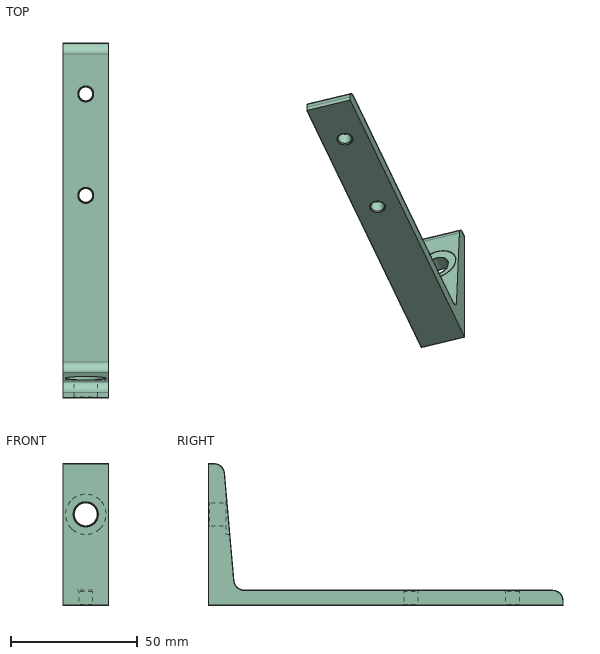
import cadquery as cq
import math

length = 140.0
width = 18.0
height = 56.0

foot_thickness = 6.0
upright_tip_thickness = 6.0
upright_taper = 5.0
upright_rise = height - foot_thickness
upright_root_thickness = upright_tip_thickness + upright_rise * math.tan(math.radians(upright_taper))
tip_radius = 4.2
inner_radius = 4.2

hole_spacing = 20.0
foot_hole_diameter = 5.5
upright_hole_diameter = 9.1
hole_chamfer = 0.4
spotface_diameter = 16.0
spotface_floor = 7.0
foot_hole_places = [length - hole_spacing, length - 3 * hole_spacing]
upright_hole_height = height - hole_spacing


def bracket_body():
    """L-shaped profile extruded across the width, centred on X = 0."""
    outline = [
        (0, 0),
        (length, 0),
        (length, foot_thickness),
        (upright_root_thickness, foot_thickness),
        (upright_tip_thickness, height),
        (0, height),
    ]
    body = cq.Workplane("YZ").polyline(outline).close().extrude(width / 2, both=True)

    def edge_at(y, z):
        return cq.selectors.NearestToPointSelector((0, y, z))

    body = body.edges(edge_at(upright_root_thickness, foot_thickness)).fillet(inner_radius)
    body = body.edges(edge_at(upright_tip_thickness, height)).fillet(tip_radius)
    return body.edges(edge_at(length, foot_thickness)).fillet(tip_radius)


def rim_chamfer(radius):
    """Cone that breaks the rim of a hole, opening at Z = 0 and narrowing upward."""
    profile = [(0, 0), (radius + hole_chamfer, 0), (radius, hole_chamfer), (0, hole_chamfer)]
    return cq.Workplane("XZ").polyline(profile).close().revolve(360, (0, 0), (0, 1))


def foot_hole(y):
    """Vertical through hole in the foot, chamfered at both rims."""
    radius = foot_hole_diameter / 2
    bore = cq.Workplane("XY").circle(radius).extrude(foot_thickness)
    lower = rim_chamfer(radius)
    upper = lower.mirror("XY").translate((0, 0, foot_thickness))
    return bore.union(lower).union(upper).translate((0, y, 0))


def upright_hole():
    """Horizontal through hole in the upright, chamfered outside and spotfaced on the tapered side."""
    radius = upright_hole_diameter / 2
    bore = cq.Workplane("XY").circle(radius).extrude(2 * upright_root_thickness)
    spotface = (
        cq.Workplane("XY", origin=(0, 0, spotface_floor))
        .circle(spotface_diameter / 2)
        .extrude(upright_root_thickness)
    )
    tool = bore.union(rim_chamfer(radius)).union(spotface)
    return tool.rotate((0, 0, 0), (1, 0, 0), -90).translate((0, 0, upright_hole_height))


result = bracket_body().cut(upright_hole())
for place in foot_hole_places:
    result = result.cut(foot_hole(place))